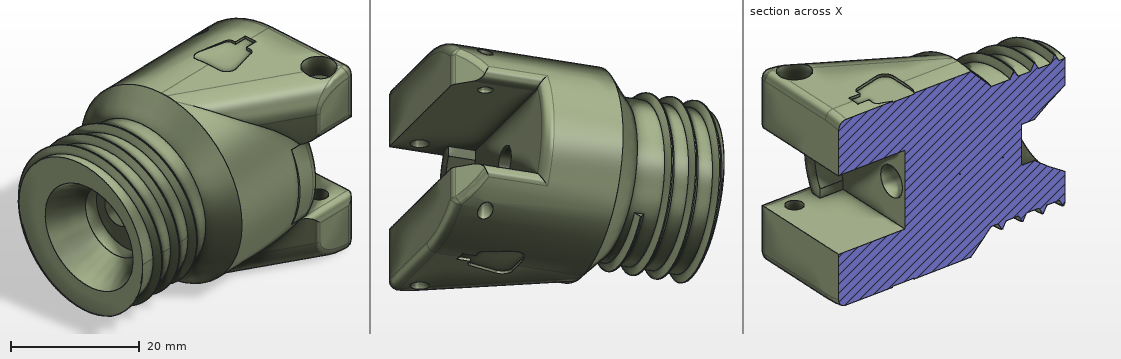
import cadquery as cq
import math

total_length = 44.5
body_radius = 17.0
neck_radius = 13.0
neck_length = 14.5
shoulder_length = body_radius - neck_radius
body_start = neck_length + shoulder_length
edge_radius = 1.5

thread_pitch = 4.0
thread_crest_radius = 14.2
thread_root_width = 1.6
thread_crest_width = 0.2
thread_start = -0.8
thread_turns = 3.375
thread_overlap = 0.2

mouth_offset = 1.75
mouth_outer_radius = 9.25
mouth_inner_radius = 6.25
mouth_taper_depth = 6.0
mouth_depth = 8.5
bore_diameter = 5.5

slot_half_width = 7.0
slot_floor = 31.5
corner_cut_start = -10.4

flank_angle = 60.0
flank_radius = 5.0
flank_corner_y = 36.05

lip_top = 36.0
lip_outer_radius = 14.6
lip_inner_radius = 11.0
lip_reach = 17.29
lip_groove_half_width = 5.35

pin_x = 13.0
pin_y = 40.5
pin_diameter = 3.0
pin_head_diameter = 5.6
pin_head_depth = 3.5
cord_hole_x = -10.4
cord_hole_y = 38.9
cord_hole_diameter = 2.4

recess_depth = 0.5
recess_bottom_y = 29.3
recess_shoulder_y = 36.8
recess_top_y = 39.0
recess_bottom_half_width = 4.5
recess_shoulder_half_width = 2.57
recess_neck_half_width = 1.15
recess_bottom_corner_radius = 1.7
recess_shoulder_corner_radius = 0.9


def y_cylinder(radius, start, end, x=0.0):
    return cq.Workplane("XZ", origin=(x, start, 0)).circle(radius).extrude(start - end)


def make_turned_body():
    profile = [
        (0, 0),
        (neck_radius, 0),
        (neck_radius, neck_length),
        (body_radius, body_start),
        (body_radius, total_length),
        (0, total_length),
    ]
    return cq.Workplane("XY").polyline(profile).close().revolve(360, (0, 0, 0), (0, 1, 0))


def make_arm_block():
    """Block that squares off the +X side, with a rounded flank sloping back to the body."""
    flank_run = (flank_corner_y - body_start) / math.tan(math.radians(flank_angle))
    outline = [
        (0, body_start),
        (body_radius - flank_run, body_start),
        (body_radius, flank_corner_y),
        (body_radius, total_length),
        (0, total_length),
    ]
    block = cq.Workplane("XY").polyline(outline).close().extrude(body_radius, both=True)
    flank_mid = (body_radius - flank_run / 2, (flank_corner_y + body_start) / 2)
    for side in (-1, 1):
        edge = cq.selectors.NearestToPointSelector((*flank_mid, side * body_radius))
        block = block.edges(edge).fillet(flank_radius)
    return block


def make_slot():
    return cq.Workplane("XY", origin=(0, slot_floor, 0)).box(
        4 * body_radius, total_length - slot_floor, 2 * slot_half_width, centered=(True, False, True)
    )


def cut_corner(body):
    size = total_length - slot_floor
    corner = (
        cq.Workplane("XY")
        .polyline([
            (corner_cut_start, total_length),
            (corner_cut_start - size, total_length),
            (corner_cut_start - size, total_length - size),
        ])
        .close()
        .extrude(body_radius, both=True)
    )
    return body.cut(corner)


def round_fork_edges(body):
    """Round the outer edges of both arms and the -X rim of the slot."""
    tolerance = 0.01

    def on_skin(point):
        return abs(math.hypot(point.x, point.z) - body_radius) < tolerance

    def on_slot_wall(point):
        return abs(abs(point.z) - slot_half_width) < tolerance

    def is_outer_edge(edge):
        start, middle, end = edge.startPoint(), edge.Center(), edge.endPoint()
        if middle.y > total_length - tolerance:
            return not on_slot_wall(middle)
        if middle.x > body_radius - tolerance:
            return middle.y > flank_corner_y + tolerance
        is_on_fork = middle.y > slot_floor - tolerance
        return is_on_fork and middle.x < -tolerance and on_skin(start) and on_skin(end)

    outer_edges = [edge for edge in body.edges().vals() if is_outer_edge(edge)]
    return body.newObject(outer_edges).fillet(edge_radius)


def mirror_upper_half(body):
    """Keep the half above Z = 0 and mirror it, so both arms are alike."""
    width = 4 * body_radius
    upper_space = cq.Workplane("XY").box(width, 2 * total_length, width, centered=(True, True, False))
    upper = body.intersect(upper_space)
    return upper.union(upper.mirror("XY")).clean()


def make_lip():
    """Arc-shaped wall across the +X end of the slot, with a rounded outer top edge."""
    center_x = lip_reach - lip_outer_radius
    height = lip_top - slot_floor
    lip = y_cylinder(lip_outer_radius, slot_floor, lip_top, center_x).faces(">Y").edges().fillet(edge_radius)
    lip = lip.cut(y_cylinder(lip_inner_radius, slot_floor, lip_top, center_x))
    inner_x = center_x + math.sqrt(lip_inner_radius**2 - lip_groove_half_width**2)
    span = cq.Workplane("XY", origin=(inner_x, slot_floor, 0)).box(
        body_radius, height, 2 * slot_half_width, centered=(False, False, True)
    )
    return lip.intersect(span)


def make_thread():
    base_radius = neck_radius - thread_overlap
    flank_slope = (thread_root_width - thread_crest_width) / (thread_crest_radius - neck_radius) / 2
    base_half_width = thread_root_width / 2 + flank_slope * thread_overlap
    crest_half_width = thread_crest_width / 2
    path = cq.Wire.makeHelix(thread_pitch, thread_pitch * thread_turns, base_radius)
    ridge = (
        cq.Workplane("XZ")
        .polyline([
            (base_radius, -base_half_width),
            (thread_crest_radius, -crest_half_width),
            (thread_crest_radius, crest_half_width),
            (base_radius, base_half_width),
        ])
        .close()
        .sweep(cq.Workplane(path), isFrenet=True)
    )
    ridge = ridge.rotate((0, 0, 0), (1, 0, 0), -90).translate((0, thread_start, 0))
    return ridge.intersect(y_cylinder(body_radius, 0, body_start))


def cut_mouth_and_bore(part):
    taper = cq.Solid.makeCone(
        mouth_outer_radius,
        mouth_inner_radius,
        mouth_taper_depth,
        pnt=cq.Vector(mouth_offset, 0, 0),
        dir=cq.Vector(0, 1, 0),
    )
    part = part.cut(cq.Workplane(taper))
    part = part.cut(y_cylinder(mouth_inner_radius, mouth_taper_depth, mouth_depth, mouth_offset))
    return part.cut(y_cylinder(bore_diameter / 2, 0, slot_floor))


def z_hole(x, y, diameter, bottom, top):
    return cq.Workplane("XY", origin=(x, y, bottom)).circle(diameter / 2).extrude(top - bottom)


def cut_arm_holes(part):
    part = part.cut(z_hole(pin_x, pin_y, pin_diameter, -body_radius, body_radius))
    part = part.cut(z_hole(pin_x, pin_y, pin_head_diameter, body_radius - pin_head_depth, body_radius))
    return part.cut(z_hole(cord_hole_x, cord_hole_y, cord_hole_diameter, -body_radius, body_radius))


def make_recess():
    bulb = (
        cq.Workplane("XY", origin=(0, 0, body_radius - recess_depth))
        .polyline([
            (-recess_bottom_half_width, recess_bottom_y),
            (recess_bottom_half_width, recess_bottom_y),
            (recess_shoulder_half_width, recess_shoulder_y),
            (-recess_shoulder_half_width, recess_shoulder_y),
        ])
        .close()
        .extrude(recess_depth)
    )
    bulb = bulb.edges("|Z and <Y").fillet(recess_bottom_corner_radius)
    bulb = bulb.edges("|Z and >Y").fillet(recess_shoulder_corner_radius)
    neck = cq.Workplane("XY", origin=(0, recess_bottom_y, body_radius - recess_depth)).box(
        2 * recess_neck_half_width,
        recess_top_y - recess_bottom_y,
        recess_depth,
        centered=(True, False, False),
    )
    return bulb.union(neck)


body = make_turned_body().union(make_arm_block())
body = cut_corner(body.cut(make_slot()))
body = mirror_upper_half(round_fork_edges(body))
body = body.union(make_lip()).union(make_thread())
body = cut_mouth_and_bore(body)
body = cut_arm_holes(body)
recess = make_recess()
result = body.cut(recess).cut(recess.mirror("XY"))